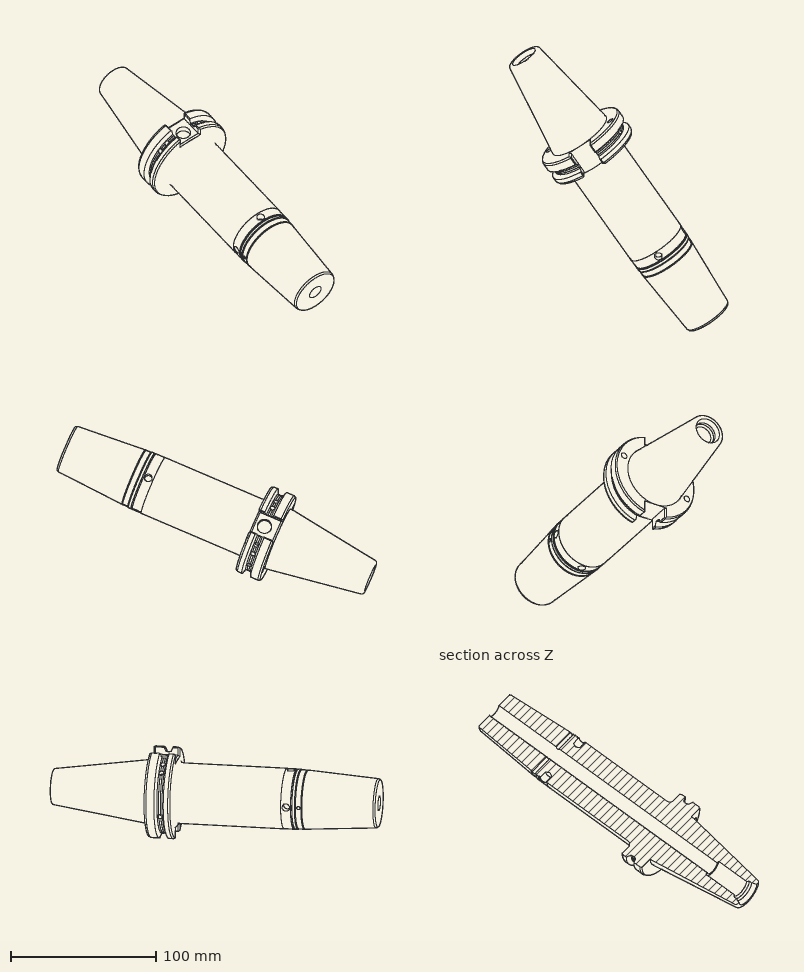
import cadquery as cq
import math

total_length = 228.2
gauge_x = 68.2
gauge_radius = 22.4
taper_ratio = 7 / 24
shank_end_radius = gauge_radius - gauge_x * taper_ratio / 2
shank_end_round = 1.5

flange_start = 69.2
flange_end = 87.2
flange_radius = 31.7
flange_chamfer_width = 1.4
flange_chamfer_height = 0.7
groove_center = 79.5
groove_top_width = 6.6
groove_floor_width = 3.7
groove_floor_radius = 28.3
relief_width = 1.4
relief_radius = 28.0

key_width = 15.5
key_top_floor = 24.9
key_bottom_floor = gauge_radius
key_end_chamfer = 1.1
key_mouth_half_width = 8.5
key_mouth_height = math.sqrt(flange_radius**2 - key_mouth_half_width**2)
chip_hole_diameter = 9.8
chip_hole_depth = 4.5

groove_hole_diameter = 3.2
groove_hole_depth = 4.5
groove_hole_clearance = 1.1
groove_hole_angles = (45, 60, 120, 135)
coolant_hole_diameter = 2.3
coolant_plug_diameter = 4.3
coolant_circle_radius = 27.0
coolant_angles = (20, 200)
coolant_plug_depth = 5.7
coolant_hole_depth = groove_center - flange_start

body_radius = 21.0
neck_fillet = 3.2
collar_start = 163.0
collar_step = 0.11
collar_radius = body_radius - collar_step
ring_groove_x = 170.3
ring_groove_width = 1.0
ring_groove_depth = 0.5
collar_end = 172.5
step_chamfer = 0.7
nose_taper_start = 177.4
nose_start_radius = 20.5
nose_groove_width = 0.7
nose_groove_depth = 0.2
nose_end_radius = 17.1
nose_end_chamfer = 1.4
nose_chamfer_height = 0.7

balance_hole_x = 166.6
balance_hole_diameter = 5.2
balance_hole_depth = 6.0
vent_hole_x = 175.3
vent_hole_diameter = 2.3

bore_mouth_radius = 9.4
bore_mouth_depth = 3.5
counterbore_radius = 8.0
counterbore_depth = 5.5
thread_radius = 6.6
thread_depth = 32.0
through_radius = 5.0


def revolve_about_x(sketch):
    """Turn a closed half profile (X, radius) around the X axis."""
    return sketch.close().revolve(360, (0, 0, 0), (1, 0, 0))


def ring_cut(x, width, floor_radius):
    """Square-sided ring that cuts a groove down to floor_radius."""
    return (
        cq.Workplane("YZ", origin=(x - width / 2, 0, 0))
        .circle(flange_radius)
        .circle(floor_radius)
        .extrude(width)
    )


def drill(start, direction, diameter, depth, tip_height=0.0):
    """Round hole running from start along direction, with an optional conical tip."""
    start = cq.Vector(*start)
    direction = cq.Vector(*direction)
    radius = diameter / 2
    hole = cq.Solid.makeCylinder(radius, depth, start, direction)
    if tip_height > 0:
        tip_start = start + direction.normalized() * depth
        hole = hole.fuse(cq.Solid.makeCone(radius, 0, tip_height, tip_start, direction))
    return hole


def make_turned_body():
    groove_top = groove_top_width / 2
    groove_floor = groove_floor_width / 2
    fillet_dip = neck_fillet * (1 - math.sqrt(0.5))
    profile = (
        cq.Workplane("XY")
        .moveTo(0, 0)
        .lineTo(0, shank_end_radius)
        .lineTo(gauge_x, gauge_radius)
        .lineTo(flange_start, gauge_radius)
        .lineTo(flange_start, flange_radius - flange_chamfer_height)
        .lineTo(flange_start + flange_chamfer_width, flange_radius)
        .lineTo(groove_center - groove_top, flange_radius)
        .lineTo(groove_center - groove_floor, groove_floor_radius)
        .lineTo(groove_center + groove_floor, groove_floor_radius)
        .lineTo(groove_center + groove_top, flange_radius)
        .lineTo(flange_end - flange_chamfer_width, flange_radius)
        .lineTo(flange_end, flange_radius - flange_chamfer_height)
        .lineTo(flange_end, body_radius + neck_fillet)
        .threePointArc(
            (flange_end + fillet_dip, body_radius + fillet_dip),
            (flange_end + neck_fillet, body_radius),
        )
        .lineTo(collar_start, body_radius)
        .lineTo(collar_start, collar_radius)
        .lineTo(collar_end, collar_radius)
        .lineTo(collar_end + step_chamfer, nose_start_radius)
        .lineTo(nose_taper_start, nose_start_radius)
        .lineTo(total_length - nose_end_chamfer, nose_end_radius)
        .lineTo(total_length, nose_end_radius - nose_chamfer_height)
        .lineTo(total_length, 0)
    )
    body = revolve_about_x(profile).faces("<X").edges().fillet(shank_end_round)
    body = body.cut(ring_cut(groove_center, relief_width, relief_radius))
    body = body.cut(ring_cut(ring_groove_x, ring_groove_width, collar_radius - ring_groove_depth))
    return body.cut(ring_cut(nose_taper_start, nose_groove_width, nose_start_radius - nose_groove_depth))


def make_bore():
    shoulder = counterbore_radius - thread_radius
    profile = (
        cq.Workplane("XY")
        .moveTo(0, 0)
        .lineTo(0, bore_mouth_radius)
        .lineTo(bore_mouth_depth, counterbore_radius)
        .lineTo(counterbore_depth, counterbore_radius)
        .lineTo(counterbore_depth + shoulder, thread_radius)
        .lineTo(thread_depth, thread_radius)
        .lineTo(thread_depth, through_radius)
        .lineTo(total_length, through_radius)
        .lineTo(total_length, 0)
    )
    return revolve_about_x(profile)


def make_keyway(floor, side, end_x, floor_chamfer):
    """Keyway from the flange face to end_x; side is +1 at the top and -1 at the bottom."""
    half_width = key_width / 2
    flare = key_mouth_half_width - half_width
    flare_start = key_mouth_height - flare
    clear = flange_radius - flare_start
    outline = [
        (half_width, floor),
        (half_width, flare_start),
        (half_width + clear, flange_radius),
        (-half_width - clear, flange_radius),
        (-half_width, flare_start),
        (-half_width, floor),
    ]
    keyway = (
        cq.Workplane("YZ", origin=(flange_start, 0, 0))
        .polyline([(y, side * z) for y, z in outline])
        .close()
        .extrude(end_x - flange_start)
    )
    height = 2 * (flange_radius - floor)
    for face_x, inward in ((flange_start, 1), (flange_end, -1)):
        end_flare = (
            cq.Workplane("YZ", origin=(face_x, 0, side * flange_radius))
            .rect(key_width + 2 * key_end_chamfer, height + 2 * floor_chamfer)
            .workplane(offset=inward * key_end_chamfer)
            .rect(key_width, height)
            .loft(combine=True)
        )
        keyway = keyway.union(end_flare)
    return keyway


def cut_groove_hole(body, angle):
    """Blind radial hole in the groove floor, at an angle from +Y towards +Z."""
    y = math.cos(math.radians(angle))
    z = math.sin(math.radians(angle))
    start_radius = groove_floor_radius + groove_hole_clearance
    start = (groove_center, y * start_radius, z * start_radius)
    depth = groove_hole_depth + groove_hole_clearance
    return body.cut(drill(start, (0, -y, -z), groove_hole_diameter, depth))


def cut_flange_holes(body):
    chip_start = (groove_center, 0, key_top_floor)
    body = body.cut(drill(chip_start, (0, 0, -1), chip_hole_diameter, chip_hole_depth))
    for angle in groove_hole_angles:
        body = cut_groove_hole(body, angle)
    for angle in coolant_angles:
        y = coolant_circle_radius * math.cos(math.radians(angle))
        z = coolant_circle_radius * math.sin(math.radians(angle))
        for diameter, depth in (
            (coolant_plug_diameter, coolant_plug_depth),
            (coolant_hole_diameter, coolant_hole_depth),
        ):
            body = body.cut(drill((flange_start, y, z), (1, 0, 0), diameter, depth))
        body = cut_groove_hole(body, angle)
    return body


def cut_body_holes(body):
    tip_height = balance_hole_diameter / 4
    for y, z in ((1, 0), (-1, 0), (0, 1), (0, -1)):
        start = (balance_hole_x, y * body_radius, z * body_radius)
        hole = drill(start, (0, -y, -z), balance_hole_diameter, balance_hole_depth, tip_height)
        body = body.cut(hole)
    vent = drill((vent_hole_x, -body_radius, 0), (0, 1, 0), vent_hole_diameter, 2 * body_radius)
    return body.cut(vent)


result = make_turned_body().cut(make_bore())
result = result.cut(make_keyway(key_top_floor, 1, flange_end, key_end_chamfer))
result = result.cut(make_keyway(key_bottom_floor, -1, flange_end + neck_fillet, 0))
result = cut_flange_holes(result)
result = cut_body_holes(result)